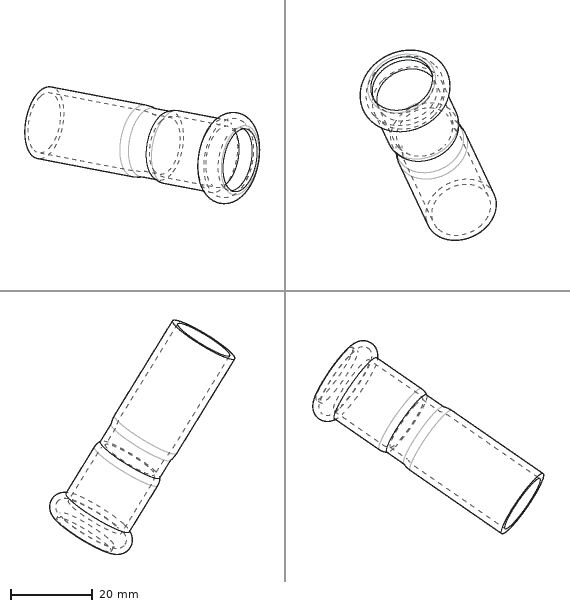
import cadquery as cq
import math

WALL = 1.5
LENGTH = 57.0

SPIGOT_RADIUS = 18.0 / 2
NECK_RADIUS = 17.2 / 2
SOCKET_RADIUS = 18.3 / 2

SPIGOT_END = 27.7
NECK_START = 29.95
NECK_END = 35.1
SOCKET_START = 37.0

BEAD_DIAMETER = 22.71
BEAD_SECTION_RADIUS = 3.36
BEAD_CENTER_X = 53.7
BEAD_CENTER_RADIUS = BEAD_DIAMETER / 2 - BEAD_SECTION_RADIUS
GROOVE_SECTION_RADIUS = BEAD_SECTION_RADIUS - WALL
MOUTH_RADIUS = 15.7 / 2
MOUTH_LENGTH = LENGTH - BEAD_CENTER_X
RIM_RADIUS = BEAD_CENTER_RADIUS + math.sqrt(BEAD_SECTION_RADIUS**2 - MOUTH_LENGTH**2)


def shoulder_midpoint(tangent_point, corner_point):
    """Middle of the convex arc that leaves a cylinder tangentially and ends at a corner."""
    run = corner_point[0] - tangent_point[0]
    drop = tangent_point[1] - corner_point[1]
    arc_radius = (run**2 + drop**2) / (2 * drop)
    half_angle = math.asin(run / arc_radius) / 2
    x = tangent_point[0] + arc_radius * math.sin(half_angle)
    radius = tangent_point[1] - arc_radius * (1 - math.cos(half_angle))
    return (x, radius)


def section_half_width(section_radius, radius):
    """Half the axial width of a round bead section at a given distance from the X axis."""
    return math.sqrt(section_radius**2 - (radius - BEAD_CENTER_RADIUS) ** 2)


def revolved_tube_body(inset, bead_section_radius, bead_end_radius):
    """Solid of revolution under the tube surface that lies `inset` inside the outer one.

    The round bead section stops where it comes back down to `bead_end_radius`.
    """
    spigot_radius = SPIGOT_RADIUS - inset
    neck_radius = NECK_RADIUS - inset
    socket_radius = SOCKET_RADIUS - inset

    spigot_edge = (SPIGOT_END, spigot_radius)
    neck_start = (NECK_START, neck_radius)
    neck_end = (NECK_END, neck_radius)
    socket_edge = (SOCKET_START, socket_radius)

    bead_start = (BEAD_CENTER_X - section_half_width(bead_section_radius, socket_radius), socket_radius)
    bead_crown = (BEAD_CENTER_X, BEAD_CENTER_RADIUS + bead_section_radius)
    bead_end = (BEAD_CENTER_X + section_half_width(bead_section_radius, bead_end_radius), bead_end_radius)

    profile = (
        cq.Workplane("XY")
        .lineTo(0, spigot_radius)
        .lineTo(*spigot_edge)
        .threePointArc(shoulder_midpoint(spigot_edge, neck_start), neck_start)
        .lineTo(*neck_end)
        .threePointArc(shoulder_midpoint(socket_edge, neck_end), socket_edge)
        .lineTo(*bead_start)
        .threePointArc(bead_crown, bead_end)
        .lineTo(bead_end[0], 0)
        .close()
    )
    return profile.revolve(360, (0, 0, 0), (1, 0, 0))


def mouth_opening():
    """Straight opening through the lip that closes the seal groove."""
    return cq.Workplane("YZ", origin=(BEAD_CENTER_X, 0, 0)).circle(MOUTH_RADIUS).extrude(MOUTH_LENGTH)


outer_body = revolved_tube_body(0, BEAD_SECTION_RADIUS, RIM_RADIUS)
bore = revolved_tube_body(WALL, GROOVE_SECTION_RADIUS, MOUTH_RADIUS)
result = outer_body.cut(bore).cut(mouth_opening())